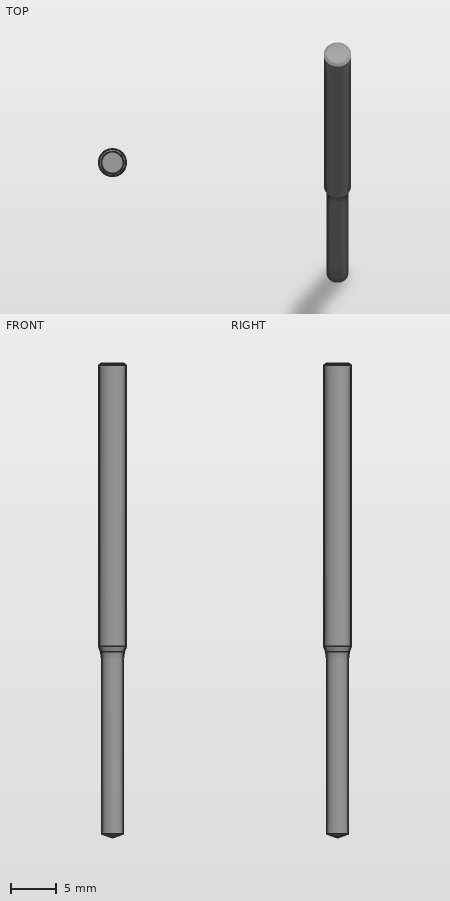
import cadquery as cq
import math

total_length = 52.0
shank_diameter = 3.0
drill_diameter = 2.4
point_angle = 140.0

shank_length = 31.0
shoulder_length = 0.6
neck_length = 0.8

shoulder_end_diameter = 2.6

bevel_width = 0.3
bevel_height = 0.2

shank_radius = shank_diameter / 2
drill_radius = drill_diameter / 2
shoulder_end_radius = shoulder_end_diameter / 2

shank_bottom = total_length - shank_length
shoulder_bottom = shank_bottom - shoulder_length
neck_bottom = shoulder_bottom - neck_length
point_height = drill_radius / math.tan(math.radians(point_angle / 2))


def revolve_about_z(outline):
    """Turn a closed half section, drawn in the XZ plane, into a round solid."""
    return outline.close().revolve(360, (0, 0, 0), (0, 1, 0))


def make_shank():
    """Straight shank with a bevelled top end and a tapered shoulder."""
    outline = (
        cq.Workplane("XZ")
        .moveTo(0, shoulder_bottom)
        .lineTo(shoulder_end_radius, shoulder_bottom)
        .lineTo(shank_radius, shank_bottom)
        .lineTo(shank_radius, total_length - bevel_height)
        .lineTo(shank_radius - bevel_width, total_length)
        .lineTo(0, total_length)
    )
    return revolve_about_z(outline)


def make_drill():
    """Straight drill with a conical point and a neck that flares out to the shoulder."""
    outline = (
        cq.Workplane("XZ")
        .lineTo(drill_radius, point_height)
        .lineTo(drill_radius, neck_bottom)
        .tangentArcPoint((shoulder_end_radius, shoulder_bottom), relative=False)
        .lineTo(0, shoulder_bottom)
    )
    return revolve_about_z(outline)


shank = make_shank()
drill = make_drill()

result = cq.Compound.makeCompound([shank.val(), drill.val()])